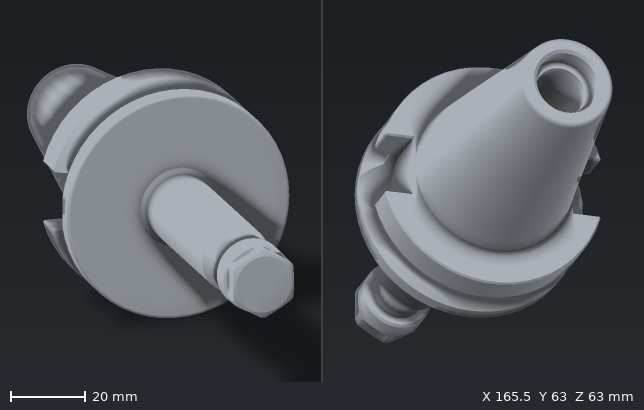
import cadquery as cq
import math


gauge_radius = 44.5 / 2
gauge_x = 65.4
taper_ratio = 7 / 24
small_end_radius = gauge_radius - gauge_x * taper_ratio / 2
small_end_fillet = 1.3

flange_x = 67.4
flange_end_x = 92.3
flange_radius = 63.0 / 2
lug_edge_chamfer = 0.5
flange_back_fillet = 1.0
flange_root_fillet = 1.0

groove_center_x = 82.1
groove_floor_width = 4.5
groove_floor_radius = 26.5
groove_wall_run = (flange_radius - groove_floor_radius) / math.tan(math.radians(60))
groove_floor_start = groove_center_x - groove_floor_width / 2
groove_floor_end = groove_center_x + groove_floor_width / 2

slot_width = 16.2
slot_end_x = 88.2
slot_floor_y = 22.3

shank_radius = 19.0 / 2
shank_root_chamfer = 1.5
shank_end_x = 141.7
shank_edge_length = 0.41
shank_edge_drop = 0.25
neck_radius = 14.0 / 2
neck_x = 149.1

nut_x = 153.1
nut_end_x = 165.5
nut_radius = 19.0 / 2
nut_back_chamfer = 0.7
nut_front_chamfer_length = 0.7
nut_front_chamfer_depth = 1.7
hex_across_flats = 17.0
hex_x = 160.5
hex_runout_angle = 40
hex_flat_count = 6

pilot_radius = 17.2 / 2
pilot_depth = 7.3
pilot_mouth_radius = 19.0 / 2
pilot_chamfer_depth = 0.7
stud_hole_radius = 13.9 / 2
stud_hole_depth = 29.8


def arc_middle(center_x, center_r, radius, angle):
    """Point on an arc at the given angle (degrees), in the X-radius plane."""
    turn = math.radians(angle)
    return (center_x + radius * math.cos(turn), center_r + radius * math.sin(turn))


def turned_body():
    """Revolved outer shape from the small end of the taper to the nut face."""
    root_x = flange_x - flange_root_fillet
    root_radius = gauge_radius + flange_root_fillet
    back_x = flange_end_x - flange_back_fillet
    back_radius = flange_radius - flange_back_fillet
    profile = (
        cq.Workplane("XY")
        .moveTo(0, 0)
        .lineTo(0, small_end_radius)
        .lineTo(gauge_x, gauge_radius)
        .lineTo(root_x, gauge_radius)
        .threePointArc(arc_middle(root_x, root_radius, flange_root_fillet, -45), (flange_x, root_radius))
        .lineTo(flange_x, flange_radius)
        .lineTo(groove_floor_start - groove_wall_run, flange_radius)
        .lineTo(groove_floor_start, groove_floor_radius)
        .lineTo(groove_floor_end, groove_floor_radius)
        .lineTo(groove_floor_end + groove_wall_run, flange_radius)
        .lineTo(back_x, flange_radius)
        .threePointArc(arc_middle(back_x, back_radius, flange_back_fillet, 45), (flange_end_x, back_radius))
        .lineTo(flange_end_x, shank_radius + shank_root_chamfer)
        .lineTo(flange_end_x + shank_root_chamfer, shank_radius)
        .lineTo(shank_end_x - shank_edge_length, shank_radius)
        .lineTo(shank_end_x, shank_radius - shank_edge_drop)
        .lineTo(neck_x, neck_radius)
        .lineTo(nut_x, neck_radius)
        .lineTo(nut_x, nut_radius - nut_back_chamfer)
        .lineTo(nut_x + nut_back_chamfer, nut_radius)
        .lineTo(nut_end_x - nut_front_chamfer_length, nut_radius)
        .lineTo(nut_end_x, nut_radius - nut_front_chamfer_depth)
        .lineTo(nut_end_x, 0)
        .close()
    )
    body = profile.revolve(360, (0, 0, 0), (1, 0, 0))
    return body.faces("<X").edges().fillet(small_end_fillet)


def drive_slot():
    """Round-ended slot on the -Y side, open toward the small end of the taper."""
    center_x = slot_end_x - slot_width / 2
    return (
        cq.Workplane("XZ", origin=(0, -slot_floor_y, 0))
        .moveTo(gauge_x, -slot_width / 2)
        .lineTo(center_x, -slot_width / 2)
        .threePointArc((slot_end_x, 0), (center_x, slot_width / 2))
        .lineTo(gauge_x, slot_width / 2)
        .close()
        .extrude(flange_radius)
    )


def break_lug_edges(body):
    """Chamfer the front arc of each drive lug and its slot edges on the front face and the rim."""
    middle_x = (flange_x + groove_floor_start - groove_wall_run) / 2
    rim_y = math.sqrt(flange_radius**2 - (slot_width / 2) ** 2)
    face_y = (slot_floor_y + rim_y) / 2
    edge_points = []
    for side_z in (-1, 1):
        edge_z = side_z * slot_width / 2
        edge_points.append((flange_x, 0, side_z * flange_radius))
        for side_y in (-1, 1):
            edge_points.append((flange_x, side_y * face_y, edge_z))
            edge_points.append((middle_x, side_y * rim_y, edge_z))
    edges = body.newObject([])
    for point in edge_points:
        edges = edges.add(body.edges(cq.selectors.NearestToPointSelector(point)))
    return edges.chamfer(lug_edge_chamfer)


def hex_flat_cutter():
    """Removes the -Y flat of the nut and the sloped ramp behind it."""
    flat_radius = hex_across_flats / 2
    ramp_rise = nut_radius - flat_radius
    ramp_run = ramp_rise / math.tan(math.radians(hex_runout_angle))
    return (
        cq.Workplane("XY")
        .moveTo(nut_end_x, -flat_radius)
        .lineTo(hex_x, -flat_radius)
        .lineTo(hex_x - ramp_run, -nut_radius)
        .lineTo(nut_end_x, -nut_radius)
        .close()
        .extrude(nut_radius, both=True)
    )


def pull_stud_hole():
    """Chamfered pilot bore followed by a narrower blind hole."""
    return (
        cq.Workplane("XY")
        .moveTo(0, 0)
        .lineTo(0, pilot_mouth_radius)
        .lineTo(pilot_chamfer_depth, pilot_radius)
        .lineTo(pilot_depth, pilot_radius)
        .lineTo(pilot_depth, stud_hole_radius)
        .lineTo(stud_hole_depth, stud_hole_radius)
        .lineTo(stud_hole_depth, 0)
        .close()
        .revolve(360, (0, 0, 0), (1, 0, 0))
    )


result = turned_body().cut(pull_stud_hole())

for side in range(2):
    result = result.cut(drive_slot().rotate((0, 0, 0), (1, 0, 0), side * 180))

result = break_lug_edges(result)

for flat in range(hex_flat_count):
    flat_angle = flat * 360 / hex_flat_count
    result = result.cut(hex_flat_cutter().rotate((0, 0, 0), (1, 0, 0), flat_angle))